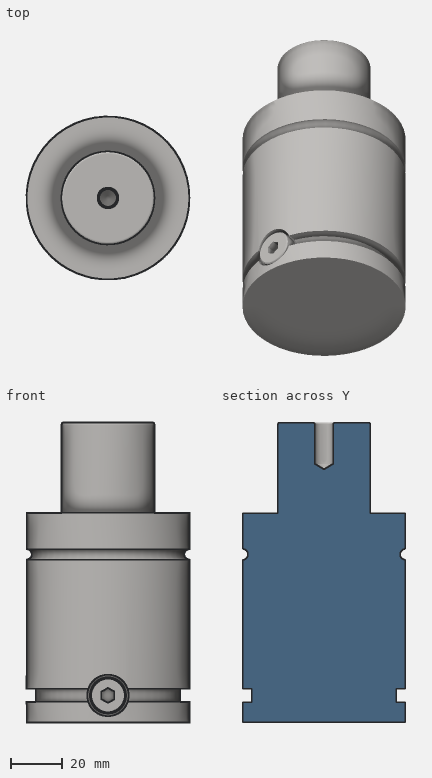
import cadquery as cq
import math

body_diameter = 63.0
body_height = 81.0

rod_diameter = 36.0
total_height = 116.0
rod_fillet = 1.0

tap_diameter = 6.8
tap_depth = 16.0
tap_countersink_diameter = 8.0
drill_point_angle = 118.0

round_groove_radius = 2.0
round_groove_height = 65.0

square_groove_bottom = 8.0
square_groove_width = 5.0
square_groove_floor_diameter = 56.0

plug_height = square_groove_bottom + square_groove_width / 2
plug_recess_diameter = 16.0
plug_recess_floor_distance = 26.0
plug_diameter = 14.0
plug_face_distance = 31.0
plug_chamfer = 0.5
hex_across_flats = 5.0
hex_depth = 4.0

body_radius = body_diameter / 2


def make_body():
    body = cq.Workplane("XY").circle(body_radius).extrude(body_height)
    return body.cut(make_round_groove()).cut(make_square_groove())


def make_round_groove():
    """Ring of round section centred on the body surface."""
    section = (
        cq.Workplane("XZ")
        .center(body_radius, round_groove_height)
        .circle(round_groove_radius)
    )
    axis_start = (-body_radius, 0)
    axis_end = (-body_radius, 1)
    return section.revolve(360, axis_start, axis_end)


def make_square_groove():
    """Ring of rectangular section that reaches the body surface."""
    return (
        cq.Workplane("XY")
        .workplane(offset=square_groove_bottom)
        .circle(body_radius)
        .circle(square_groove_floor_diameter / 2)
        .extrude(square_groove_width)
    )


def make_rod():
    return (
        cq.Workplane("XY")
        .workplane(offset=body_height)
        .circle(rod_diameter / 2)
        .extrude(total_height - body_height)
        .faces(">Z")
        .fillet(rod_fillet)
    )


def make_tapped_hole():
    """Drilled hole with a 45 degree countersink and a conical bottom."""
    hole_radius = tap_diameter / 2
    mouth_radius = tap_countersink_diameter / 2
    countersink_depth = mouth_radius - hole_radius
    point_length = hole_radius / math.tan(math.radians(drill_point_angle / 2))
    shoulder = total_height - tap_depth
    return (
        cq.Workplane("XZ")
        .moveTo(0, total_height)
        .lineTo(mouth_radius, total_height)
        .lineTo(hole_radius, total_height - countersink_depth)
        .lineTo(hole_radius, shoulder)
        .lineTo(0, shoulder - point_length)
        .close()
        .revolve(360, (0, 0), (0, 1))
    )


def side_plane(distance):
    """Plane facing -Y at the given distance from the body axis, centred on the plug."""
    return cq.Workplane("XZ", origin=(0, -distance, plug_height))


def make_plug_recess():
    depth = body_radius - plug_recess_floor_distance
    return side_plane(plug_recess_floor_distance).circle(plug_recess_diameter / 2).extrude(depth)


def make_plug():
    """Chamfered round plug with a hexagon socket whose corners point up and down."""
    plug = (
        side_plane(plug_recess_floor_distance)
        .circle(plug_diameter / 2)
        .extrude(plug_face_distance - plug_recess_floor_distance)
        .faces("<Y")
        .chamfer(plug_chamfer)
    )
    corner_diameter = hex_across_flats / math.cos(math.pi / 6)
    socket = (
        side_plane(plug_face_distance)
        .transformed(rotate=(0, 0, 90))
        .polygon(6, corner_diameter)
        .extrude(-hex_depth)
    )
    return plug.cut(socket)


result = (
    make_body()
    .union(make_rod())
    .cut(make_tapped_hole())
    .cut(make_plug_recess())
    .union(make_plug())
)